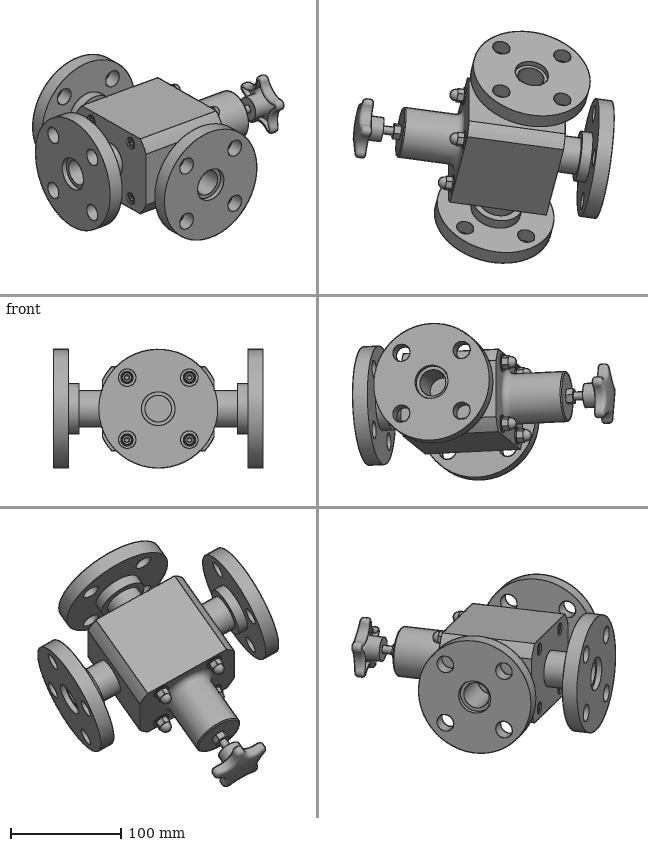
import cadquery as cq
import math


flange_diameter = 108.0
flange_thickness = 14.0
overall_width = 190.5
side_flange_face = overall_width / 2
front_flange_face = 84.0
hub_diameter = 45.7
hub_length = 9.5
pipe_diameter = 33.4
bore_diameter = 24.2
recess_diameter = 30.6
recess_depth = 5.0
flange_hole_diameter = 15.8
flange_hole_offset = 28.1

block_width = 101.3
block_height = 76.3
block_front = -39.3
block_back = 49.4
block_corner_radius = 57.0

bonnet_diameter = 45.7
bonnet_end = 103.5
bonnet_chamfer = 1.1
bonnet_root_radius = 6.2
lock_nut_across_flats = 12.5
lock_nut_end = 110.0
spindle_diameter = 7.5

overall_length = 228.5
knob_end = overall_length - front_flange_face
knob_thickness = 12.0
knob_hub_diameter = 22.2
knob_hub_length = 12.3
lobe_count = 5
lobe_circle_radius = 23.5
lobe_radius = 4.8
lobe_valley_radius = 14.2
crown_drop = 3.2
knob_lower_fillet = 2.7
knob_upper_fillet = 3.2
knob_wall = 3.2
knob_cavity_depth = 5.5
knob_hub_root_radius = knob_cavity_depth

screw_offset = 28.3
counterbore_diameter = 11.0
counterbore_depth = 6.9
screw_head_diameter = 9.5
screw_head_recess = 1.0
screw_head_chamfer = 0.7
socket_across_flats = 4.3
socket_depth = 2.7
washer_diameter = 15.8
washer_thickness = 1.1
cap_nut_across_flats = 11.0
cap_nut_hex_height = 6.0
cap_nut_collar_height = 1.1
cap_dome_diameter = 10.5

corners_on_z = 30


def plane_along_y(y):
    """Plane at the given Y, facing +Y, with its local axes along X and -Z."""
    return cq.Workplane(cq.Plane(origin=(0, y, 0), xDir=(1, 0, 0), normal=(0, 1, 0)))


def rod(diameter, y_start, y_end):
    """Round bar on the Y axis."""
    return plane_along_y(y_start).circle(diameter / 2).extrude(y_end - y_start)


def hexagon(across_flats, y_start, y_end, turn=0):
    """Hexagonal bar on the Y axis, with two corners on X when turn is 0."""
    across_corners = across_flats / math.cos(math.pi / 6)
    bar = plane_along_y(y_start).polygon(6, across_corners).extrude(y_end - y_start)
    return bar.rotate((0, 0, 0), (0, 1, 0), turn)


def ball(radius, y_centre):
    """Sphere centred on the Y axis, with its poles on that axis."""
    return cq.Workplane("XY").sphere(radius, direct=(0, 1, 0)).translate((0, y_centre, 0))


def root_flare(radius, fillet, y_wall, direction):
    """Disc that flares concavely from a round bar out to a wall at y_wall.

    The direction, +1 or -1, is the way along Y in which the bar leaves the wall.
    """
    inward = fillet * (1 - math.sqrt(0.5))
    return (
        cq.Workplane("XY")
        .moveTo(0, y_wall)
        .lineTo(radius + fillet, y_wall)
        .threePointArc(
            (radius + inward, y_wall + direction * inward),
            (radius, y_wall + direction * fillet),
        )
        .lineTo(0, y_wall + direction * fillet)
        .close()
        .revolve(360, (0, 0, 0), (0, 1, 0))
    )


def square_pattern(shape, offset):
    """Four copies of a shape at (+-offset, +-offset) in X and Z."""
    copies = cq.Workplane("XZ")
    for x in (-offset, offset):
        for z in (-offset, offset):
            copies = copies.add(shape.translate((x, 0, z)))
    return copies.combine()


def make_block():
    length = block_back - block_front
    block = plane_along_y(block_front).rect(block_width, block_height).extrude(length)
    return block.intersect(rod(2 * block_corner_radius, block_front, block_back))


def make_connection(face_distance, inner_distance):
    """Flange, hub and pipe along -Y, ending at the block, with a blind stepped bore."""
    face = -face_distance
    flange_back = face + flange_thickness
    hub_back = flange_back + hub_length
    pipe_end = -inner_distance
    body = rod(flange_diameter, face, flange_back)
    body = body.union(rod(hub_diameter, flange_back, hub_back))
    body = body.union(rod(pipe_diameter, hub_back, pipe_end))
    body = body.cut(rod(recess_diameter, face, face + recess_depth))
    body = body.cut(rod(bore_diameter, face, pipe_end))
    bolt_hole = rod(flange_hole_diameter, face, flange_back)
    return body.cut(square_pattern(bolt_hole, flange_hole_offset))


def make_bonnet():
    body = rod(bonnet_diameter, block_back, bonnet_end)
    body = body.faces(">Y").chamfer(bonnet_chamfer)
    return body.union(root_flare(bonnet_diameter / 2, bonnet_root_radius, block_back, 1))


def make_star(y_start, thickness, inset=0):
    """Star prism: round lobes joined by tangent concave valleys, one lobe at +Z.

    A positive inset moves the whole outline inward by that distance.
    """
    lobe_arc = lobe_radius - inset
    valley_arc = lobe_valley_radius + inset
    half_pitch = math.pi / lobe_count
    lobe_half_chord = lobe_circle_radius * math.sin(half_pitch)
    arc_centre_gap = lobe_arc + valley_arc
    valley_centre = lobe_circle_radius * math.cos(half_pitch) + math.sqrt(
        arc_centre_gap**2 - lobe_half_chord**2
    )
    valley_floor = valley_centre - valley_arc
    tangent_share = lobe_arc / arc_centre_gap

    def polar(radius, angle):
        return (radius * math.cos(angle), radius * math.sin(angle))

    def tangent_point(lobe_angle, valley_angle):
        lobe = polar(lobe_circle_radius, lobe_angle)
        valley = polar(valley_centre, valley_angle)
        return tuple(a + (b - a) * tangent_share for a, b in zip(lobe, valley))

    first_angle = -math.pi / 2
    outline = plane_along_y(y_start).moveTo(*tangent_point(first_angle, first_angle - half_pitch))
    for index in range(lobe_count):
        lobe_angle = first_angle + 2 * half_pitch * index
        valley_angle = lobe_angle + half_pitch
        next_lobe_angle = valley_angle + half_pitch
        outline = outline.threePointArc(
            polar(lobe_circle_radius + lobe_arc, lobe_angle),
            tangent_point(lobe_angle, valley_angle),
        )
        outline = outline.threePointArc(
            polar(valley_floor, valley_angle),
            tangent_point(next_lobe_angle, valley_angle),
        )
    return outline.close().extrude(thickness)


def make_knob():
    underside = knob_end - knob_thickness
    tip_radius = lobe_circle_radius + lobe_radius
    crown_radius = (tip_radius**2 + crown_drop**2) / (2 * crown_drop)
    crown = ball(crown_radius, knob_end - crown_radius)
    star = make_star(underside, knob_thickness).intersect(crown)
    star = star.faces("<Y").edges().fillet(knob_lower_fillet)
    star = star.faces(">Y").edges().fillet(knob_upper_fillet)
    star = star.cut(make_star(underside, knob_cavity_depth, knob_wall))
    cavity_roof = underside + knob_cavity_depth
    star = star.union(root_flare(knob_hub_diameter / 2, knob_hub_root_radius, cavity_roof, -1))
    return star.union(rod(knob_hub_diameter, underside - knob_hub_length, cavity_roof))


def make_cap_nut():
    """Washer, hexagon and domed cap on the back of the block."""
    washer_top = block_back + washer_thickness
    hex_top = washer_top + cap_nut_hex_height
    collar_top = hex_top + cap_nut_collar_height
    dome = ball(cap_dome_diameter / 2, collar_top)
    nut = rod(washer_diameter, block_back, washer_top)
    nut = nut.union(hexagon(cap_nut_across_flats, washer_top, hex_top, corners_on_z))
    return nut.union(rod(cap_dome_diameter, hex_top, collar_top)).union(dome)


def make_screw_head():
    """Socket screw head standing on the floor of its counterbore."""
    head_face = block_front + screw_head_recess
    socket_floor = head_face + socket_depth
    head = rod(screw_head_diameter, head_face, block_front + counterbore_depth)
    head = head.faces("<Y").chamfer(screw_head_chamfer)
    head = head.cut(hexagon(socket_across_flats, head_face, socket_floor, corners_on_z))
    tip_radius = socket_across_flats / 2
    socket_tip = cq.Solid.makeCone(
        tip_radius, 0, tip_radius, cq.Vector(0, socket_floor, 0), cq.Vector(0, 1, 0)
    )
    return head.cut(cq.Workplane(socket_tip))


counterbore = rod(counterbore_diameter, block_front, block_front + counterbore_depth)

front_connection = make_connection(front_flange_face, -block_front)
side_connection = make_connection(side_flange_face, block_width / 2)

result = make_block().cut(square_pattern(counterbore, screw_offset))
result = result.union(square_pattern(make_screw_head(), screw_offset))
result = result.union(square_pattern(make_cap_nut(), screw_offset))
result = result.union(front_connection)
for turn in (-90, 90):
    result = result.union(side_connection.rotate((0, 0, 0), (0, 0, 1), turn))
result = result.union(make_bonnet())
result = result.union(hexagon(lock_nut_across_flats, bonnet_end, lock_nut_end))
result = result.union(rod(spindle_diameter, bonnet_end, knob_end - knob_thickness))
result = result.union(make_knob())